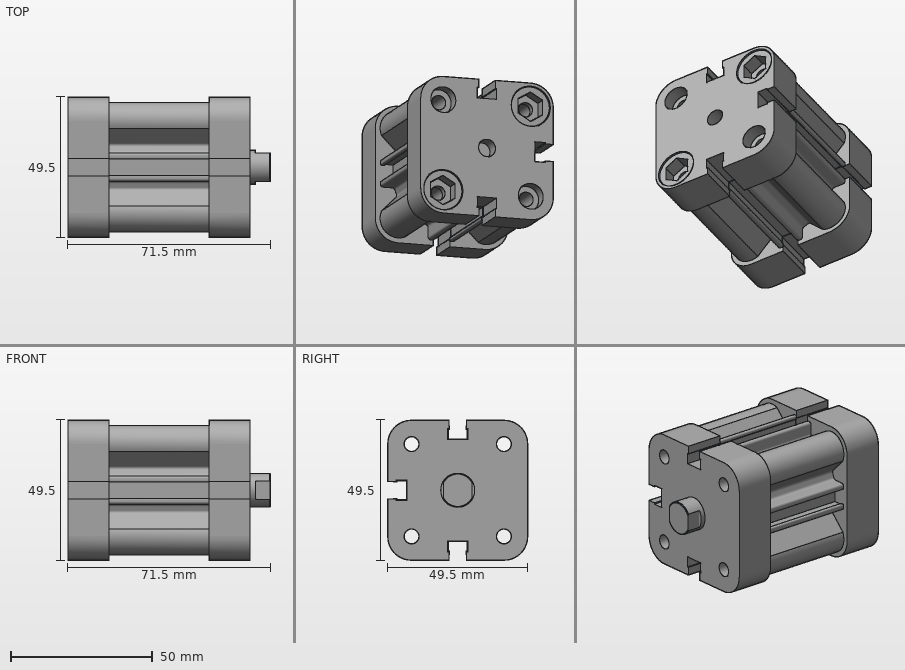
import cadquery as cq
import math


total_length = 71.5
cap_length = 14.5
housing_length = 64.35
barrel_end = housing_length - cap_length

cap_width = 49.5
cap_half = cap_width / 2
corner_offset = 16.3
cap_corner_radius = cap_half - corner_offset

cap_slot_mouth = 6.15
cap_slot_width = 7.15
cap_slot_mouth_depth = 3.0
cap_slot_depth = 6.85
cap_slot_angles = [90, 0, 180]

barrel_half = 22.95
lobe_radius = barrel_half - corner_offset
lobe_end = 13.65
valley_radius = 1.1
valley_flank_end = 8.4
valley_slope = math.radians(20)
rail_outside = 5.0
rail_foot_radius = 1.2
rail_top = 22.8
rail_outer_round = 0.9
rail_inner_round = 0.5
slot_mouth_half = 2.85
slot_half = 3.3
slot_mouth_bottom = 21.5
slot_floor = 18.1

through_diameter = 5.15
counterbore_diameter = 9.3
counterbore_depth = 5.0
centre_hole_diameter = 6.3
centre_hole_depth = 6.0

recess_diameter = 14.6
recess_depth = 8.6
screw_gap = 0.2
screw_inset = 0.5
screw_diameter = recess_diameter - 2 * screw_gap
socket_across_flats = 9.15
socket_depth = 5.2
screw_corners = [(-corner_offset, corner_offset), (corner_offset, -corner_offset)]
open_corners = [(corner_offset, corner_offset), (-corner_offset, -corner_offset)]

rod_diameter = 12.0
rod_start = barrel_end
rod_chamfer = 0.3
rod_flats = 10.15
rod_flat_start = 66.15
rod_flat_fillet = 0.3


def section_plane(x):
    """Workplane across the part: local x is +Y, local y is +Z, extruding towards +X."""
    return cq.Workplane("YZ", origin=(x, 0, 0))


def turned(body, angle):
    """Copy of a body turned about the X axis."""
    return body.rotate((0, 0, 0), (1, 0, 0), angle)


def arc_point(centre, radius, angle):
    """Point on a circle, with the angle in radians from the across direction."""
    return (centre[0] + radius * math.cos(angle), centre[1] + radius * math.sin(angle))


def cap(x):
    """Rounded square end cap with its T-slots."""
    body = section_plane(x).rect(cap_width, cap_width).extrude(cap_length)
    body = body.edges("|X").fillet(cap_corner_radius)
    mouth = section_plane(x).center(0, cap_half - cap_slot_mouth_depth / 2)
    mouth = mouth.rect(cap_slot_mouth, cap_slot_mouth_depth).extrude(cap_length)
    chamber_height = cap_slot_depth - cap_slot_mouth_depth
    chamber = section_plane(x).center(0, cap_half - cap_slot_depth + chamber_height / 2)
    chamber = chamber.rect(cap_slot_width, chamber_height).extrude(cap_length)
    slot = mouth.union(chamber)
    for angle in cap_slot_angles:
        body = body.cut(turned(slot, angle))
    return body


def half_side_path():
    """Steps (arc middle or None, end point) from a lobe crest to the nearer slot floor corner."""
    half_pi = math.pi / 2
    quarter_pi = math.pi / 4

    lobe_centre = (corner_offset, corner_offset)
    lobe_end_angle = math.acos((lobe_end - corner_offset) / lobe_radius)
    lobe_middle = arc_point(lobe_centre, lobe_radius, (half_pi + lobe_end_angle) / 2)
    flank_top = arc_point(lobe_centre, lobe_radius, lobe_end_angle)

    flank_bottom = (valley_flank_end, flank_top[1] - (lobe_end - valley_flank_end))
    valley_centre = arc_point(flank_bottom, valley_radius, 3 * quarter_pi)
    valley_middle = arc_point(valley_centre, valley_radius, -half_pi)
    valley_end = arc_point(valley_centre, valley_radius, -half_pi - valley_slope)

    foot_across = rail_outside + rail_foot_radius * (1 - math.sin(valley_slope))
    foot_out = valley_end[1] + (valley_end[0] - foot_across) * math.tan(valley_slope)
    foot_start = (foot_across, foot_out)
    foot_centre = arc_point(foot_start, rail_foot_radius, half_pi - valley_slope)
    foot_middle = arc_point(foot_centre, rail_foot_radius, -3 * quarter_pi)
    foot_end = (rail_outside, foot_centre[1])

    outer_centre = (rail_outside - rail_outer_round, rail_top - rail_outer_round)
    outer_middle = arc_point(outer_centre, rail_outer_round, quarter_pi)
    inner_centre = (slot_mouth_half + rail_inner_round, rail_top - rail_inner_round)
    inner_middle = arc_point(inner_centre, rail_inner_round, 3 * quarter_pi)

    return [
        (lobe_middle, flank_top),
        (None, flank_bottom),
        (valley_middle, valley_end),
        (None, foot_start),
        (foot_middle, foot_end),
        (None, (rail_outside, outer_centre[1])),
        (outer_middle, (outer_centre[0], rail_top)),
        (None, (inner_centre[0], rail_top)),
        (inner_middle, (slot_mouth_half, inner_centre[1])),
        (None, (slot_mouth_half, slot_mouth_bottom)),
        (None, (slot_half, slot_mouth_bottom)),
        (None, (slot_half, slot_floor)),
    ]


def mirrored_point(point):
    """Point mirrored across the middle of its side; None stays None."""
    return None if point is None else (-point[0], point[1])


def quarter_path():
    """Steps along one whole side and round the lobe that follows it."""
    half = half_side_path()
    crest = (corner_offset, barrel_half)
    middles = [middle for middle, _ in half]
    ends = [end for _, end in half]
    starts = [crest] + ends[:-1]
    floor = [(None, mirrored_point(ends[-1]))]
    back = [
        (mirrored_point(middle), mirrored_point(start))
        for middle, start in zip(reversed(middles), reversed(starts))
    ]
    lobe_centre = (-corner_offset, corner_offset)
    lobe = [(arc_point(lobe_centre, lobe_radius, 3 * math.pi / 4), (-barrel_half, corner_offset))]
    return half + floor + back + lobe


def quarter_turned(point, turns):
    """Point turned about the main axis by a number of quarter turns."""
    for _ in range(turns):
        point = (-point[1], point[0])
    return point


def barrel():
    """Four-lobed profile between the caps, alike on its four sides."""
    outline = section_plane(cap_length).moveTo(corner_offset, barrel_half)
    for turns in range(4):
        for middle, end in quarter_path():
            if middle is None:
                outline = outline.lineTo(*quarter_turned(end, turns))
            else:
                outline = outline.threePointArc(
                    quarter_turned(middle, turns), quarter_turned(end, turns)
                )
    return outline.close().extrude(barrel_end - cap_length)


def drill(points, diameter, start, length):
    """Cylinders along X to be removed at the given (Y, Z) points."""
    return section_plane(start).pushPoints(points).circle(diameter / 2).extrude(length)


def build_housing():
    """Barrel and both caps as one solid, with the screw, rod and centre holes."""
    body = barrel().union(cap(0)).union(cap(barrel_end))
    body = body.cut(drill(screw_corners + open_corners, through_diameter, 0, housing_length))
    body = body.cut(drill(open_corners, counterbore_diameter, 0, counterbore_depth))
    body = body.cut(drill(screw_corners, recess_diameter, 0, recess_depth))
    body = body.cut(drill([(0, 0)], centre_hole_diameter, 0, centre_hole_depth))
    return body.cut(drill([(0, 0)], rod_diameter, rod_start, housing_length - rod_start))


def build_screw(corner):
    """Hollow cylindrical screw with a hexagon socket, seated on the floor of its recess."""
    body = section_plane(screw_inset).circle(screw_diameter / 2).extrude(recess_depth - screw_inset)
    socket_across_corners = socket_across_flats / math.cos(math.pi / 6)
    socket = section_plane(screw_inset).polygon(6, socket_across_corners).extrude(socket_depth)
    body = body.cut(turned(socket, 90))
    body = body.cut(drill([(0, 0)], through_diameter, 0, recess_depth))
    return body.translate((0, *corner))


def build_rod():
    """Piston rod with two wrench flats at its free end."""
    body = section_plane(rod_start).circle(rod_diameter / 2).extrude(total_length - rod_start)
    body = body.faces(">X").edges().chamfer(rod_chamfer)
    cutter_length = total_length - rod_flat_start
    cutter = section_plane(rod_flat_start).center((rod_flats + rod_diameter) / 2, 0)
    cutter = cutter.rect(rod_diameter, 2 * rod_diameter).extrude(cutter_length)
    cutter = cutter.edges("<X and <Y").fillet(rod_flat_fillet)
    return body.cut(cutter).cut(cutter.mirror("XZ"))


housing = build_housing()
rod = build_rod()
screws = [build_screw(corner) for corner in screw_corners]

result = cq.Compound.makeCompound(
    [housing.val(), rod.val(), *[screw.val() for screw in screws]]
)